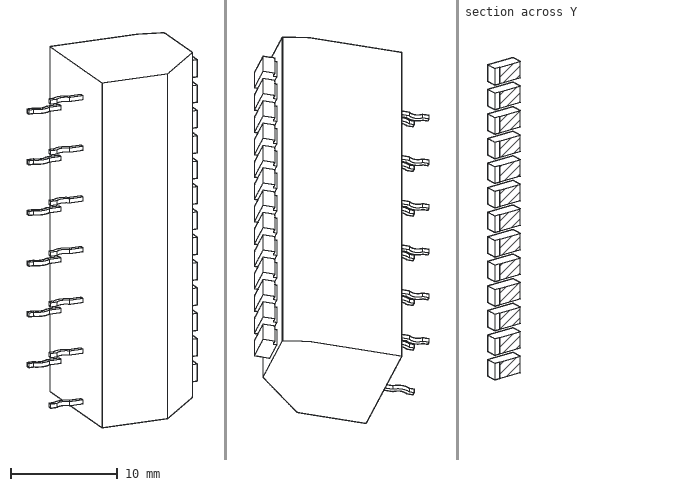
import cadquery as cq
import math

length = 34.0
width = 12.0
depth = 11.5
front_bevel_width = 0.6
front_bevel_depth = 2.45
entry_slope_start = 7.1
entry_slope_depth = 4.75
edge_chamfer = 0.07

pole_count = 13
pin_row_spacing = 5.0
pole_pitch = pin_row_spacing / 2

lever_left = 1.9
lever_right = 4.85
lever_rise = 1.5
lever_height = 1.7
lever_undercut = 0.55
lever_gap = 0.35
first_lever_z = 1.55

pin_thickness = 0.4
pin_length = 3.3
pin_row_left = 2.4
pin_row_right = pin_row_left + pin_row_spacing
first_pin_z = 1.25
kink_distance = 2.0
kink_half_chord = 0.65
kink_sag = 0.27


def make_housing():
    """Six-sided prism with small chamfers along the pin side and the front bevel."""
    outline = [
        (0, 0),
        (width, 0),
        (width, depth - entry_slope_depth),
        (entry_slope_start, depth),
        (front_bevel_width, depth),
        (0, depth - front_bevel_depth),
    ]
    prism = cq.Workplane("XY").polyline(outline).close().extrude(length)
    prism = prism.faces("<Y").edges("|Z").chamfer(edge_chamfer)
    return prism.faces(">Y").edges("|Z and <X").chamfer(edge_chamfer)


def make_lever(center_z):
    """Block with an undercut lip, rooted on the housing face."""
    outline = [
        (lever_left + lever_undercut, depth),
        (lever_right, depth),
        (lever_right, depth + lever_rise),
        (lever_left, depth + lever_rise),
        (lever_left, depth + lever_gap),
        (lever_left + lever_undercut, depth + lever_gap),
    ]
    plane = cq.Workplane("XY").workplane(offset=center_z - lever_height / 2)
    return plane.polyline(outline).close().extrude(lever_height)


def make_pin(row_x, kink_side, center_z):
    """Square pin whose kink is bounded by two concentric arcs; kink_side is +1 or -1 along X."""
    inner_radius = (kink_half_chord**2 + kink_sag**2) / (2 * kink_sag)
    outer_radius = inner_radius + pin_thickness
    outer_offset = inner_radius - kink_sag + pin_thickness
    outer_half_chord = math.sqrt(outer_radius**2 - outer_offset**2)

    inner_x = row_x - kink_side * pin_thickness / 2
    outer_x = row_x + kink_side * pin_thickness / 2
    inner_peak = (inner_x + kink_side * kink_sag, -kink_distance)
    outer_peak = (outer_x + kink_side * kink_sag, -kink_distance)

    plane = cq.Workplane("XY").workplane(offset=center_z - pin_thickness / 2)
    outline = (
        plane.moveTo(inner_x, 0)
        .lineTo(inner_x, -kink_distance + kink_half_chord)
        .threePointArc(inner_peak, (inner_x, -kink_distance - kink_half_chord))
        .lineTo(inner_x, -pin_length)
        .lineTo(outer_x, -pin_length)
        .lineTo(outer_x, -kink_distance - outer_half_chord)
        .threePointArc(outer_peak, (outer_x, -kink_distance + outer_half_chord))
        .lineTo(outer_x, 0)
        .close()
    )
    return outline.extrude(pin_thickness)


result = make_housing()
for pole in range(pole_count):
    pole_z = pole * pole_pitch
    result = result.union(make_lever(first_lever_z + pole_z))

    if pole % 2 == 0:
        pin = make_pin(pin_row_right, -1, first_pin_z + pole_z)
    else:
        pin = make_pin(pin_row_left, 1, first_pin_z + pole_z)
    result = result.union(pin)